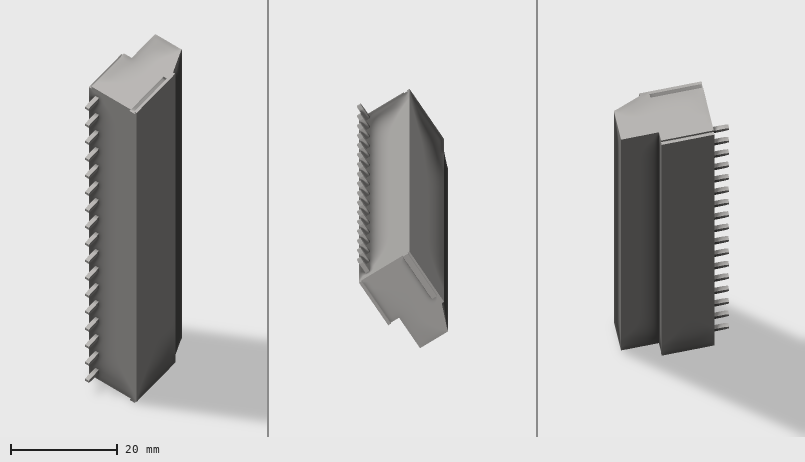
import cadquery as cq

WIDTH = 11.2
TOTAL_DEPTH = 20.55
BODY_DEPTH = 17.4
RAIL_HEIGHT = 0.6
TOTAL_HEIGHT = 85.65
BODY_HEIGHT = TOTAL_HEIGHT - RAIL_HEIGHT

BASE_DEPTH = 10.1
LEDGE_WIDTH = 2.4
CREST_X = 8.65
CREST_DROP = 0.85
CREST_FLANK_LEAN = 0.25
SLOPE_END_X = 10.7
SLOPE_END_Y = 12.0

EDGE_GROOVE_WIDTH = 0.6
RAIL_CENTER_X = 10.3
NECK_HALF = 0.385
GROOVE_FLOOR_HALF = 0.73
RAIL_BULGE_HALF = 0.64
RAIL_FOOT_HALF = 0.56
BULGE_DEPTH = 0.385

PIN_COUNT = 17
PIN_PITCH = BODY_HEIGHT / PIN_COUNT
PIN_X = 2.0
PIN_WIDTH = 0.85
PIN_HEIGHT = 0.9
PIN_LENGTH = TOTAL_DEPTH - BODY_DEPTH
PIN_TIP_LENGTH = 0.9
PIN_TIP_HEIGHT = 0.6


def housing():
    """Upright prism with a left ledge and a sloped right rear corner."""
    outline = [
        (0, 0),
        (WIDTH, 0),
        (WIDTH, SLOPE_END_Y),
        (SLOPE_END_X, SLOPE_END_Y),
        (CREST_X + CREST_FLANK_LEAN, BODY_DEPTH - CREST_DROP),
        (CREST_X, BODY_DEPTH),
        (LEDGE_WIDTH, BODY_DEPTH),
        (LEDGE_WIDTH, BASE_DEPTH),
        (0, BASE_DEPTH),
    ]
    return cq.Workplane("XY").polyline(outline).close().extrude(BODY_HEIGHT)


def along_base(points):
    """Extrude an XZ section from the front face to the back of the wide portion."""
    return cq.Workplane("XZ").polyline(points).close().extrude(-BASE_DEPTH)


def grooves():
    """Open rebate along the left edge and dovetail groove near the right edge."""
    floor_z = BODY_HEIGHT - RAIL_HEIGHT
    rebate = along_base([
        (0, BODY_HEIGHT),
        (EDGE_GROOVE_WIDTH, BODY_HEIGHT),
        (EDGE_GROOVE_WIDTH, floor_z),
        (0, floor_z),
    ])
    dovetail = along_base([
        (RAIL_CENTER_X - NECK_HALF, BODY_HEIGHT),
        (RAIL_CENTER_X + NECK_HALF, BODY_HEIGHT),
        (RAIL_CENTER_X + GROOVE_FLOOR_HALF, floor_z),
        (RAIL_CENTER_X - GROOVE_FLOOR_HALF, floor_z),
    ])
    return rebate.union(dovetail)


def rails():
    """Half rail flush with the left side and a full rail near the right side."""
    flank = [(NECK_HALF, 0), (RAIL_BULGE_HALF, -BULGE_DEPTH), (RAIL_FOOT_HALF, -RAIL_HEIGHT)]
    half_rail = along_base([(0, 0)] + flank + [(0, -RAIL_HEIGHT)])
    right_flank = [(RAIL_CENTER_X + offset, z) for offset, z in flank]
    left_flank = [(RAIL_CENTER_X - offset, z) for offset, z in reversed(flank)]
    return half_rail.union(along_base(right_flank + left_flank))


def pin(z):
    """Rectangular pin pointing forward, with a tapered tip."""
    shank_length = PIN_LENGTH - PIN_TIP_LENGTH
    front = cq.Workplane("XZ").center(PIN_X, z)
    shank = front.rect(PIN_WIDTH, PIN_HEIGHT).extrude(shank_length)
    tip = (
        front.workplane(offset=shank_length)
        .rect(PIN_WIDTH, PIN_HEIGHT)
        .workplane(offset=PIN_TIP_LENGTH)
        .rect(PIN_WIDTH, PIN_TIP_HEIGHT)
        .loft(combine=True)
    )
    return shank.union(tip)


result = housing().cut(grooves()).union(rails())
for index in range(PIN_COUNT):
    result = result.union(pin((index + 0.5) * PIN_PITCH))